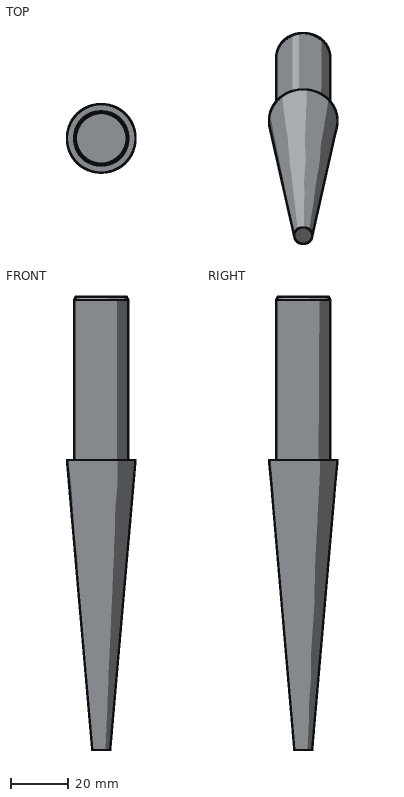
import cadquery as cq
import math

overall_length = 158.75
taper_length = 101.6
shank_length = overall_length - taper_length

shoulder_diameter = 24.13
tip_diameter = 6.35
shank_diameter = 19.05

chamfer_height = 1.143
chamfer_angle = 30
chamfer_width = chamfer_height * math.tan(math.radians(chamfer_angle))


def make_taper():
    """Solid cone frustum, narrow tip at Z = 0 and flat shoulder on top."""
    tip_radius = tip_diameter / 2
    shoulder_radius = shoulder_diameter / 2
    return (
        cq.Workplane("XZ")
        .moveTo(0, 0)
        .lineTo(tip_radius, 0)
        .lineTo(shoulder_radius, taper_length)
        .lineTo(0, taper_length)
        .close()
        .revolve(360, (0, 0, 0), (0, 1, 0))
    )


def make_shank():
    """Round shank standing on the shoulder, chamfered at its upper end."""
    return (
        cq.Workplane("XY")
        .workplane(offset=taper_length)
        .circle(shank_diameter / 2)
        .extrude(shank_length)
        .faces(">Z")
        .edges()
        .chamfer(chamfer_height, chamfer_width)
    )


taper = make_taper()
shank = make_shank()

result = cq.Compound.makeCompound([taper.val(), shank.val()])